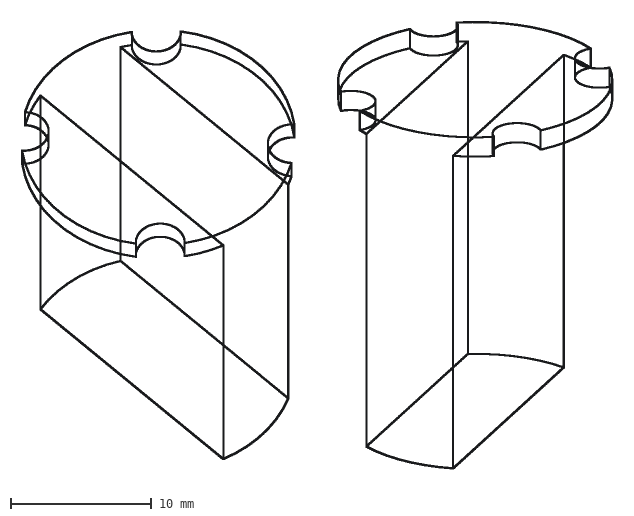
import cadquery as cq

total_height = 26.0
flange_diameter = 19.5
flange_thickness = 1.5

blade_front_y = -2.6
blade_back_y = 4.55

notch_radius = 1.75
notch_x = 7.0
notch_y = 6.5

flange_radius = flange_diameter / 2
blade_height = total_height - flange_thickness
blade_thickness = blade_back_y - blade_front_y
blade_center_y = (blade_front_y + blade_back_y) / 2


def make_blade():
    """Flat-faced blade whose narrow sides follow the flange cylinder."""
    cylinder = cq.Workplane("XY").circle(flange_radius).extrude(blade_height)
    slab = (
        cq.Workplane("XY")
        .center(0, blade_center_y)
        .rect(flange_diameter, blade_thickness)
        .extrude(blade_height)
    )
    return cylinder.intersect(slab)


def make_flange():
    """Round top plate with four notches through its rim."""
    base = cq.Workplane("XY").workplane(offset=blade_height)
    plate = base.circle(flange_radius).extrude(flange_thickness)
    notches = (
        base.rect(2 * notch_x, 2 * notch_y, forConstruction=True)
        .vertices()
        .circle(notch_radius)
        .extrude(flange_thickness)
    )
    return plate.cut(notches)


result = make_blade().union(make_flange())